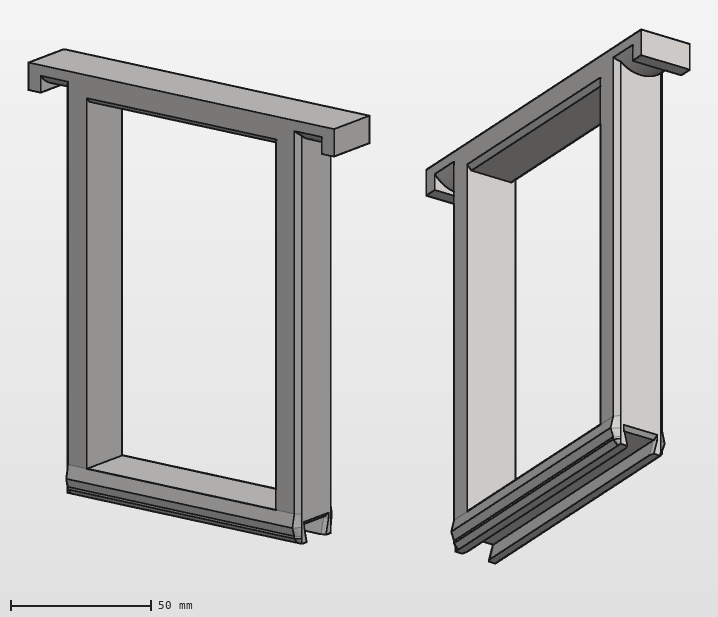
import cadquery as cq

height = 157.5
bar_length = 136.5
depth = 21.0
chamfer = 1.9
half_depth = depth / 2
inset_depth = half_depth - chamfer

frame_width = 104.9
window_width = 84.5
window_floor = 11.2
window_top = 147.1
plate_bottom = 6.3
plate_end_chamfer = 1.5

hook_drop = 10.2
hook_thickness = 5.5
recess_depth = 4.0
belly_depth = 8.8

lip_top = 11.3
bulge_half_depth = 11.7
bulge_height = 6.3
bulge_foot = 3.0
foot_chamfer_height = 2.0
lip_root_inner = 6.6
lip_foot_inner = 5.0
lip_inner_chamfer = 0.6


def make_frame():
    """Upright loop with chamfered vertical edges and a sloped-edge window head."""
    size_z = height - plate_bottom
    body = cq.Workplane("XY").box(frame_width, depth, size_z, centered=(True, True, False))
    body = body.translate((0, 0, plate_bottom))
    body = body.edges("|Z").chamfer(chamfer)
    body = body.faces("<Z").edges("|Y").chamfer(plate_end_chamfer)
    window = (
        cq.Workplane("YZ")
        .moveTo(-half_depth, window_floor)
        .lineTo(half_depth, window_floor)
        .lineTo(half_depth, window_top + chamfer)
        .lineTo(inset_depth, window_top)
        .lineTo(-inset_depth, window_top)
        .lineTo(-half_depth, window_top + chamfer)
        .close()
        .extrude(window_width / 2, both=True)
    )
    return body.cut(window)


def make_bar():
    """Top bar with an arched, downward-bulging underside between its two end hooks."""
    edge_z = height - recess_depth
    bar = (
        cq.Workplane("YZ")
        .moveTo(-half_depth, height)
        .lineTo(-half_depth, edge_z)
        .threePointArc((0, height - belly_depth), (half_depth, edge_z))
        .lineTo(half_depth, height)
        .close()
        .extrude(bar_length / 2, both=True)
    )
    window_gap = cq.Workplane("XY").box(window_width, depth, window_top - window_floor)
    bar = bar.cut(window_gap.translate((0, 0, (window_top + window_floor) / 2)))

    shoulder_width = frame_width - 2 * chamfer
    shoulder_drop = height - window_top - chamfer
    shoulder = cq.Workplane("XY").box(shoulder_width, depth, shoulder_drop)
    bar = bar.union(shoulder.translate((0, 0, height - shoulder_drop / 2)))
    for side in (-1, 1):
        hook = cq.Workplane("XY").box(hook_thickness, depth, hook_drop)
        hook_x = side * (bar_length - hook_thickness) / 2
        bar = bar.union(hook.translate((hook_x, 0, height - hook_drop / 2)))
    return bar


def make_lip():
    """Clip lip on the +Y side, tapering to a narrower section at each end."""
    full_section = [
        (lip_root_inner, lip_top),
        (half_depth, lip_top),
        (bulge_half_depth, bulge_height),
        (half_depth, bulge_foot),
        (half_depth, foot_chamfer_height),
        (inset_depth, 0),
        (lip_foot_inner, 0),
        (lip_root_inner, plate_bottom),
    ]
    end_section = [
        (inset_depth if y >= inset_depth else y + lip_inner_chamfer, z)
        for y, z in full_section
    ]
    straight_half = frame_width / 2 - chamfer
    lip = cq.Workplane("YZ").polyline(full_section).close().extrude(straight_half, both=True)
    tip = (
        cq.Workplane("YZ", origin=(straight_half, 0, 0))
        .polyline(full_section)
        .close()
        .workplane(offset=chamfer)
        .polyline(end_section)
        .close()
        .loft(ruled=True)
    )
    lip = lip.union(tip).union(tip.mirror("YZ"))
    clearance = cq.Workplane("XY").box(
        window_width, 2 * half_depth, lip_top, centered=(True, True, False)
    )
    return lip.cut(clearance.translate((0, 0, window_floor)))


lip = make_lip()
result = make_frame().union(make_bar())
result = result.union(lip).union(lip.mirror("XZ"))